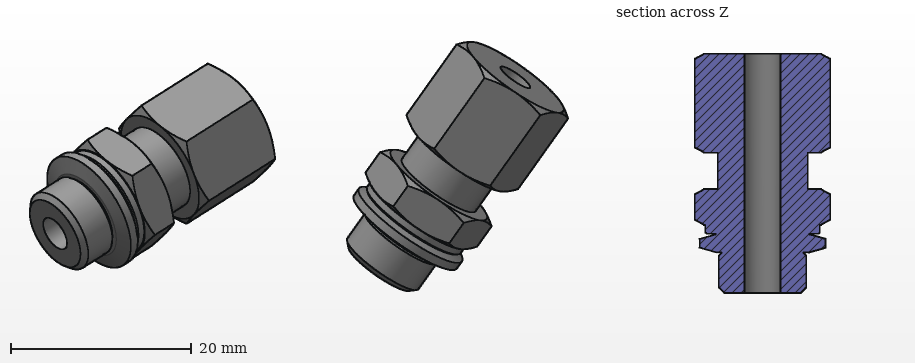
import cadquery as cq
import math

HEX_FLATS = 13.0
HEX_FACE_RADIUS = HEX_FLATS / 2
HEX_CORNER_RADIUS = HEX_FLATS / math.sqrt(3)
HEX_CHAMFER_ANGLE = 30.0

BORE_RADIUS = 2.0
THREAD_RADIUS = 4.85
NECK_RADIUS = 5.01
COLLAR_RADIUS = 6.37
WASHER_RADIUS = 7.0
WASHER_FACE_RADIUS = 5.12

TOTAL_LENGTH = 26.53
RELIEF_END = 4.48
WASHER_LENGTH = 2.07
COLLAR_LENGTH = 0.98
BODY_HEX_LENGTH = 4.0
NECK_LENGTH = 4.0

COLLAR_START = RELIEF_END + WASHER_LENGTH
BODY_HEX_START = COLLAR_START + COLLAR_LENGTH
NECK_START = BODY_HEX_START + BODY_HEX_LENGTH
NUT_START = NECK_START + NECK_LENGTH

THREAD_TIP_CHAMFER = 0.6
THREAD_RELIEF = 0.32
COLLAR_CHAMFER = 0.15
WASHER_BEVEL_LENGTH = 0.53


def revolved(profile):
    """Turn a closed outline of (radius, y) points about the Y axis."""
    return cq.Workplane("XY").polyline(profile).close().revolve(360, (0, 0, 0), (0, 1, 0))


def cylinder(radius, start, end):
    return revolved([(0, start), (radius, start), (radius, end), (0, end)])


def chamfered_hexagon(start, end):
    """Hexagonal prism whose corners are cut by a cone at both ends."""
    prism = (
        cq.Workplane("XZ", origin=(0, start, 0))
        .polygon(6, 2 * HEX_CORNER_RADIUS)
        .extrude(start - end)
    )
    outer_radius = HEX_CORNER_RADIUS + 0.27
    drop = (outer_radius - HEX_FACE_RADIUS) * math.tan(math.radians(HEX_CHAMFER_ANGLE))
    envelope = revolved([
        (0, start),
        (HEX_FACE_RADIUS, start),
        (outer_radius, start + drop),
        (outer_radius, end - drop),
        (HEX_FACE_RADIUS, end),
        (0, end),
    ])
    return prism.intersect(envelope)


def threaded_end():
    """Plain stud with a chamfered tip and a tapered relief behind it."""
    return revolved([
        (0, 0),
        (THREAD_RADIUS - THREAD_TIP_CHAMFER, 0),
        (THREAD_RADIUS, THREAD_TIP_CHAMFER),
        (THREAD_RADIUS, RELIEF_END - THREAD_RELIEF),
        (THREAD_RADIUS - THREAD_RELIEF, RELIEF_END),
        (0, RELIEF_END),
    ])


def sealing_washer():
    return revolved([
        (0, RELIEF_END),
        (WASHER_FACE_RADIUS, RELIEF_END),
        (WASHER_RADIUS, RELIEF_END + WASHER_BEVEL_LENGTH),
        (WASHER_RADIUS, COLLAR_START - WASHER_BEVEL_LENGTH),
        (WASHER_FACE_RADIUS, COLLAR_START),
        (0, COLLAR_START),
    ])


def collar():
    return revolved([
        (0, COLLAR_START),
        (COLLAR_RADIUS - COLLAR_CHAMFER, COLLAR_START),
        (COLLAR_RADIUS, COLLAR_START + COLLAR_CHAMFER),
        (COLLAR_RADIUS, BODY_HEX_START),
        (0, BODY_HEX_START),
    ])


body = threaded_end().union(sealing_washer()).union(collar())
body = body.union(chamfered_hexagon(BODY_HEX_START, NECK_START))
body = body.union(cylinder(NECK_RADIUS, NECK_START, NUT_START))
body = body.union(chamfered_hexagon(NUT_START, TOTAL_LENGTH))

result = body.cut(cylinder(BORE_RADIUS, 0, TOTAL_LENGTH))